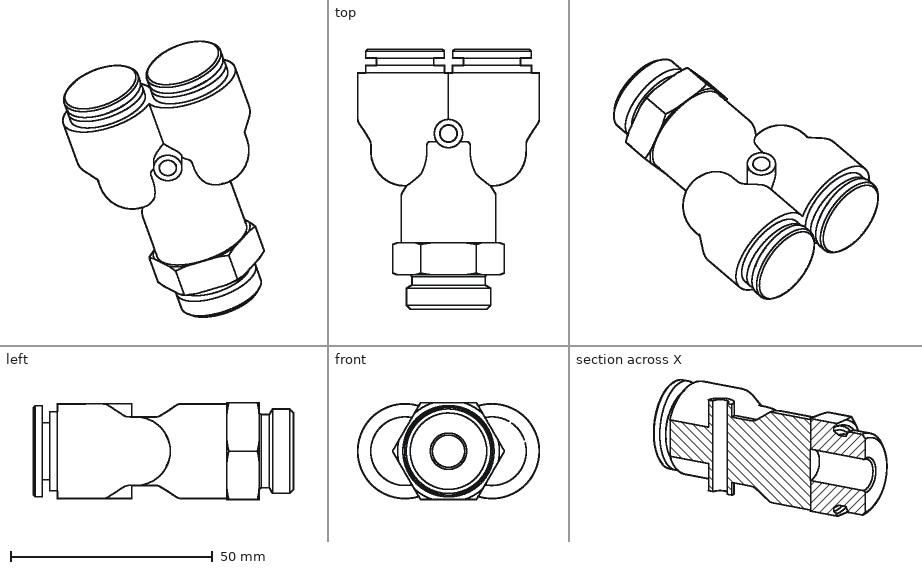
import cadquery as cq
import math


thread_dia = 20.95
tip_chamfer = 1.0
thread_end = 5.2
undercut_dia = 18.2
undercut_start = 6.0
undercut_end = 8.0
root_dia = 19.8
hex_start = 8.5
hex_length = 8.0
hex_across_flats = 24.0
hex_bevel_dia = 25.2
hex_bevel_angle = 20.0
recess_dia = 22.6
recess_floor_dia = 21.8
recess_depth = 0.9
bore_dia = 8.0
bore_chamfer = 0.5

shell_dia = 23.5
neck_dia = 17.0
shoulder_length = 5.0
shoulder_fillet = 2.0
stem_shoulder_start = 28.5
stem_end = 41.5
stem_end_fillet = 1.0
port_offset = 10.75
port_dome_center = 39.0
port_shoulder_start = 41.5
housing_end = 58.5
post_dia = 7.0
post_hole_dia = 4.2
post_y = 43.5

collar_dia = 19.6
collar_length = 1.9
button_neck_dia = 14.2
button_neck_length = 1.8
flange_width = 19.5
flange_height = 22.6
flange_thickness = 2.2
flange_chamfer = 0.5

hex_end = hex_start + hex_length
collar_end = housing_end + collar_length
flange_start = collar_end + button_neck_length
shell_radius = shell_dia / 2
neck_radius = neck_dia / 2
port_sides = (-port_offset, port_offset)


def disc(diameter, start, end):
    """Cylinder along the Y axis between two Y positions."""
    return cq.Workplane("XZ", origin=(0, start, 0)).circle(diameter / 2).extrude(start - end)


def revolve_y(profile):
    """Turn a closed profile in the XY plane about the Y axis."""
    return profile.close().revolve(360, (0, 0, 0), (0, 1, 0))


def fillet_ring(body, y, radius):
    """Round the circular edge centred on the Y axis at the given Y position."""
    return body.edges(cq.selectors.NearestToPointSelector((0, y, 0))).fillet(radius)


def make_adapter():
    thread_radius = thread_dia / 2
    undercut_radius = undercut_dia / 2
    recess_floor = hex_start + recess_depth
    stud = revolve_y(
        cq.Workplane("XY")
        .moveTo(0, 0)
        .lineTo(thread_radius - tip_chamfer, 0)
        .lineTo(thread_radius, tip_chamfer)
        .lineTo(thread_radius, thread_end)
        .lineTo(undercut_radius, undercut_start)
        .lineTo(undercut_radius, undercut_end)
        .lineTo(root_dia / 2, recess_floor)
        .lineTo(0, recess_floor)
    )

    hex_corner_dia = hex_across_flats / math.cos(math.radians(30))
    corner_radius = hex_corner_dia / 2
    bevel_radius = hex_bevel_dia / 2
    bevel_length = (corner_radius - bevel_radius) * math.tan(math.radians(hex_bevel_angle))
    bevel_envelope = revolve_y(
        cq.Workplane("XY")
        .moveTo(0, hex_start)
        .lineTo(bevel_radius, hex_start)
        .lineTo(corner_radius, hex_start + bevel_length)
        .lineTo(corner_radius, hex_end - bevel_length)
        .lineTo(bevel_radius, hex_end)
        .lineTo(0, hex_end)
    )
    hexagon = (
        cq.Workplane("XZ", origin=(0, hex_start, 0))
        .polygon(6, hex_corner_dia)
        .extrude(-hex_length)
        .intersect(bevel_envelope)
    )

    recess = revolve_y(
        cq.Workplane("XY")
        .moveTo(0, hex_start)
        .lineTo(recess_dia / 2, hex_start)
        .lineTo(recess_floor_dia / 2, recess_floor)
        .lineTo(0, recess_floor)
    )
    body = hexagon.cut(recess).union(stud)

    bore_radius = bore_dia / 2
    bore = revolve_y(
        cq.Workplane("XY")
        .moveTo(0, 0)
        .lineTo(bore_radius + bore_chamfer, 0)
        .lineTo(bore_radius, bore_chamfer)
        .lineTo(bore_radius, hex_end)
        .lineTo(0, hex_end)
    )
    return body.cut(bore)


def make_stem():
    """Sleeve above the hexagon that narrows to the neck between the ports."""
    shoulder_end = stem_shoulder_start + shoulder_length
    stem = revolve_y(
        cq.Workplane("XY")
        .moveTo(0, hex_end)
        .lineTo(shell_radius, hex_end)
        .lineTo(shell_radius, stem_shoulder_start)
        .lineTo(neck_radius, shoulder_end)
        .lineTo(neck_radius, stem_end)
        .lineTo(0, stem_end)
    )
    stem = fillet_ring(stem, stem_shoulder_start, shoulder_fillet)
    stem = fillet_ring(stem, shoulder_end, shoulder_fillet)
    return fillet_ring(stem, stem_end, stem_end_fillet)


def make_port():
    """Tube port with a domed closed end, centred on the Y axis."""
    shoulder_end = port_shoulder_start + shoulder_length
    dome_diagonal = neck_radius * math.sqrt(0.5)
    port = revolve_y(
        cq.Workplane("XY")
        .moveTo(0, port_dome_center - neck_radius)
        .threePointArc((dome_diagonal, port_dome_center - dome_diagonal), (neck_radius, port_dome_center))
        .lineTo(neck_radius, port_shoulder_start)
        .lineTo(shell_radius, shoulder_end)
        .lineTo(shell_radius, housing_end)
        .lineTo(0, housing_end)
    )
    port = fillet_ring(port, port_shoulder_start, shoulder_fillet)
    return fillet_ring(port, shoulder_end, shoulder_fillet)


def make_housing():
    body = make_stem()
    port = make_port()
    for side in port_sides:
        body = body.union(port.translate((side, 0, 0)))

    post_base = cq.Workplane("XY", origin=(0, post_y, -shell_radius))
    body = body.union(post_base.circle(post_dia / 2).extrude(shell_dia))
    return body.cut(post_base.circle(post_hole_dia / 2).extrude(shell_dia))


def make_collar(side):
    return disc(collar_dia, housing_end, collar_end).translate((side, 0, 0))


def make_button(side):
    """Release button: round neck carrying an elliptical flange that is taller than wide."""
    flange = (
        cq.Workplane("XZ", origin=(0, flange_start, 0))
        .ellipse(flange_width / 2, flange_height / 2)
        .extrude(-flange_thickness)
        .faces(">Y")
        .chamfer(flange_chamfer)
    )
    neck = disc(button_neck_dia, collar_end, flange_start)
    return neck.union(flange).translate((side, 0, 0))


adapter = make_adapter()
housing = make_housing()
collars = [make_collar(side) for side in port_sides]
buttons = [make_button(side) for side in port_sides]

result = cq.Compound.makeCompound(
    [
        adapter.val(),
        housing.val(),
        *[collar.val() for collar in collars],
        *[button.val() for button in buttons],
    ]
)